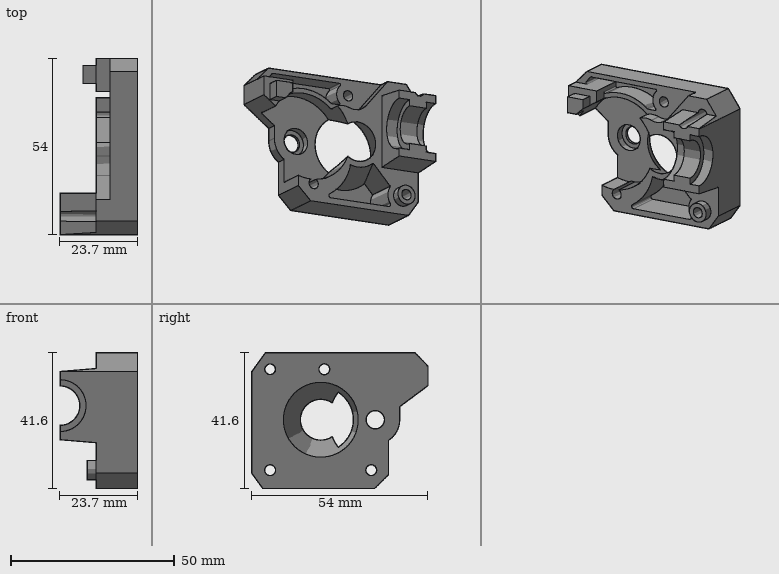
import cadquery as cq
import math

back_x = 23.7
face_x = 11.0
step_x = 15.25
gear_floor_x = 20.05
pocket_floor_x = 22.15
peg_front_x = 6.95
boss_front_x = 8.25

width = 54.0
height = 41.6

shaft_y, axis_z = 37.85, 21.05
gear_radius = 14.15
shaft_hole_diameter = 5.5
shaft_seat_diameter = 8.2
shaft_seat_depth = 2.65
rim_radius = 7.5
motor_y = 21.15
motor_front_radius = 6.2
motor_gear_floor_radius = 9.95
motor_wall = 1.9

screw_diameter = 3.25
saddle_screw_diameter = 3.2
screw_near_y, screw_mid_y, screw_far_y = 5.65, 22.25, 36.6
screw_low_z, screw_high_z = 5.6, 36.5
boss_diameter = 6.0

saddle_width = 12.8
saddle_z = 25.4
saddle_front_half = 10.5
saddle_root_half = 11.4
bearing_radius = 7.95
neck_radius = 6.0
neck_start_y, neck_end_y = 3.3, 9.1

block_inner_y = 43.85
block_top_z = 37.5
ledge_z = 31.5
peg_y_min, peg_y_max = 46.3, 51.85
peg_z_min, peg_z_max = 30.25, 35.35

step_start_y = 10.75
step_screw_radius = 5.4

upper_pocket_top_z = 40.05
upper_pocket_bottom_z = 33.2
upper_pocket_gear_radius = 15.6
upper_pocket_screw_radius = 4.0
upper_pocket_fillet = 0.4
lower_pocket_bottom_z = 1.9
lower_pocket_boss_radius = 4.95
lower_pocket_fillet = 0.7
lower_pocket_side_z = 8.4
lower_pocket_crown_z = 14.85

clearance = 2.7
margin = 0.55


def sketch_at(x):
    """Work plane facing +X, with local axes Y and Z."""
    return cq.Workplane("YZ", origin=(x, 0, 0))


def cylinder(x_start, x_end, y, z, radius):
    return sketch_at(x_start).center(y, z).circle(radius).extrude(x_end - x_start)


def box(x_range, y_range, z_range):
    size = [high - low for low, high in (x_range, y_range, z_range)]
    corner = (x_range[0], y_range[0], z_range[0])
    return cq.Workplane("XY").box(*size, centered=False).translate(corner)


def cone(x_start, x_end, start_radius, end_radius):
    """Cone around the motor axis."""
    profile = [(x_start, 0), (x_start, start_radius), (x_end, end_radius), (x_end, 0)]
    solid = cq.Workplane("XY").polyline(profile).close().revolve(360, (0, 0, 0), (1, 0, 0))
    return solid.translate((0, motor_y, axis_z))


def outline_prism(x_start):
    """Outer outline of the housing from x_start to the back."""
    foot_y, neck_y = 41.95, 45.35
    rim_end_z = axis_z - math.sqrt(rim_radius**2 - (foot_y - shaft_y) ** 2)
    middle_angle = math.radians(-30)
    rim_middle = (
        shaft_y + rim_radius * math.cos(middle_angle),
        axis_z + rim_radius * math.sin(middle_angle),
    )
    return (
        sketch_at(x_start)
        .moveTo(3.4, 0)
        .lineTo(37.65, 0)
        .lineTo(foot_y, 4.25)
        .lineTo(foot_y, rim_end_z)
        .threePointArc(rim_middle, (neck_y, axis_z))
        .lineTo(neck_y, 25.05)
        .lineTo(width, ledge_z)
        .lineTo(width, block_top_z)
        .lineTo(50.0, height)
        .lineTo(4.2, height)
        .lineTo(0, 35.75)
        .lineTo(0, 4.7)
        .close()
        .extrude(back_x - x_start)
    )


def step_cut():
    """Lowered upper face, whose edge runs round the middle screw into the gear recess."""
    dy, dz = step_start_y - screw_mid_y, height - screw_high_z
    tangent_angle = math.atan2(dz, dy) + math.acos(step_screw_radius / math.hypot(dy, dz))

    def on_screw_circle(angle):
        y = screw_mid_y + step_screw_radius * math.cos(angle)
        return y, screw_high_z + step_screw_radius * math.sin(angle)

    return (
        sketch_at(0)
        .moveTo(step_start_y, height)
        .lineTo(*on_screw_circle(tangent_angle))
        .threePointArc(on_screw_circle(math.radians(270)), on_screw_circle(math.radians(290)))
        .threePointArc((26.45, 31.8), (29.15, 31.05))
        .lineTo(shaft_y, axis_z)
        .lineTo(width + clearance, axis_z)
        .lineTo(width + clearance, height + clearance)
        .lineTo(step_start_y, height + clearance)
        .close()
        .extrude(step_x)
    )


def upper_pocket():
    """Pocket between the top wall, the corner block, the gear recess rim and the middle screw."""
    outline = [
        (screw_mid_y, upper_pocket_bottom_z),
        (block_inner_y, upper_pocket_bottom_z),
        (block_inner_y, block_top_z),
        (50.8, block_top_z),
        (48.65, upper_pocket_top_z),
        (screw_mid_y, upper_pocket_top_z),
    ]
    pocket = sketch_at(step_x).polyline(outline).close().extrude(pocket_floor_x - step_x)
    for y, z, radius in (
        (shaft_y, axis_z, upper_pocket_gear_radius),
        (screw_mid_y, screw_high_z, upper_pocket_screw_radius),
    ):
        pocket = pocket.cut(cylinder(step_x, pocket_floor_x, y, z, radius))
    pocket = cq.Workplane(pocket.solids(">Y").val())
    block_corner = cq.selectors.BoxSelector(
        (step_x - margin, block_inner_y - margin, block_top_z - margin),
        (back_x, block_inner_y + margin, block_top_z + margin),
    )
    depth_edges = cq.selectors.ParallelDirSelector(cq.Vector(1, 0, 0))
    return pocket.edges(depth_edges - block_corner).fillet(upper_pocket_fillet)


def lower_pocket():
    """Pocket below the motor opening, with a conical upper wall."""
    outline = (
        sketch_at(face_x)
        .moveTo(33.75, lower_pocket_bottom_z)
        .threePointArc((25.25, 9.0), (23.5, lower_pocket_crown_z))
        .lineTo(15.7, lower_pocket_crown_z)
        .lineTo(9.9, lower_pocket_side_z)
        .lineTo(screw_near_y, lower_pocket_side_z)
        .lineTo(screw_near_y, lower_pocket_bottom_z)
        .close()
    )
    pocket = outline.extrude(pocket_floor_x - face_x)
    pocket = pocket.cut(
        cylinder(face_x, pocket_floor_x, screw_near_y, screw_low_z, lower_pocket_boss_radius)
    )
    pocket = cq.Workplane(pocket.solids(">Y").val())
    low_corners = cq.selectors.BoxSelector(
        (face_x - margin, 0, lower_pocket_bottom_z - margin),
        (back_x, width, lower_pocket_bottom_z + margin),
    )
    pocket = pocket.edges("|X").edges(low_corners).fillet(lower_pocket_fillet)
    wall_radius = motor_front_radius + motor_wall
    floor_radius = wall_radius + motor_slope * (pocket_floor_x - face_x)
    return pocket.cut(cone(face_x, pocket_floor_x, wall_radius, floor_radius))


def bearing_saddle():
    """Tapered half bearing seat, with a narrower neck between two bearing grooves."""
    profile = [
        (0, saddle_z - saddle_front_half),
        (face_x, saddle_z - saddle_root_half),
        (face_x, saddle_z + saddle_root_half),
        (0, saddle_z + saddle_front_half),
    ]
    saddle = cq.Workplane("XZ").polyline(profile).close().extrude(-saddle_width)
    for start_y, end_y, radius in (
        (0, neck_start_y, bearing_radius),
        (neck_start_y, neck_end_y, neck_radius),
        (neck_end_y, saddle_width, bearing_radius),
    ):
        seat = cq.Workplane("XZ", origin=(0, start_y, saddle_z)).circle(radius)
        saddle = saddle.cut(seat.extrude(start_y - end_y))
    return saddle.intersect(outline_prism(0))


def corner_block():
    """Corner block on the lowered step, with a square peg, cut round by the gear recess."""
    block = box((face_x, step_x), (block_inner_y, width), (0, block_top_z))
    peg = box((peg_front_x, face_x), (peg_y_min, peg_y_max), (peg_z_min, peg_z_max))
    return block.union(peg).intersect(outline_prism(0))


motor_slope = (motor_gear_floor_radius - motor_front_radius) / (gear_floor_x - face_x)
motor_back_radius = motor_front_radius + motor_slope * (back_x - face_x)

body = outline_prism(face_x).cut(step_cut()).cut(upper_pocket()).cut(lower_pocket())
body = body.union(bearing_saddle()).union(corner_block())
body = body.union(cylinder(boss_front_x, face_x, screw_near_y, screw_low_z, boss_diameter / 2))

body = body.cut(cylinder(0, gear_floor_x, shaft_y, axis_z, gear_radius))
seat_floor_x = gear_floor_x + shaft_seat_depth
body = body.cut(cylinder(gear_floor_x, seat_floor_x, shaft_y, axis_z, shaft_seat_diameter / 2))
body = body.cut(cylinder(0, back_x, shaft_y, axis_z, shaft_hole_diameter / 2))
body = body.cut(cone(face_x, back_x, motor_front_radius, motor_back_radius))

for hole_y, hole_z, diameter in (
    (screw_near_y, screw_low_z, screw_diameter),
    (screw_far_y, screw_low_z, screw_diameter),
    (screw_mid_y, screw_high_z, screw_diameter),
    (screw_near_y, screw_high_z, saddle_screw_diameter),
):
    body = body.cut(cylinder(0, back_x, hole_y, hole_z, diameter / 2))

result = body